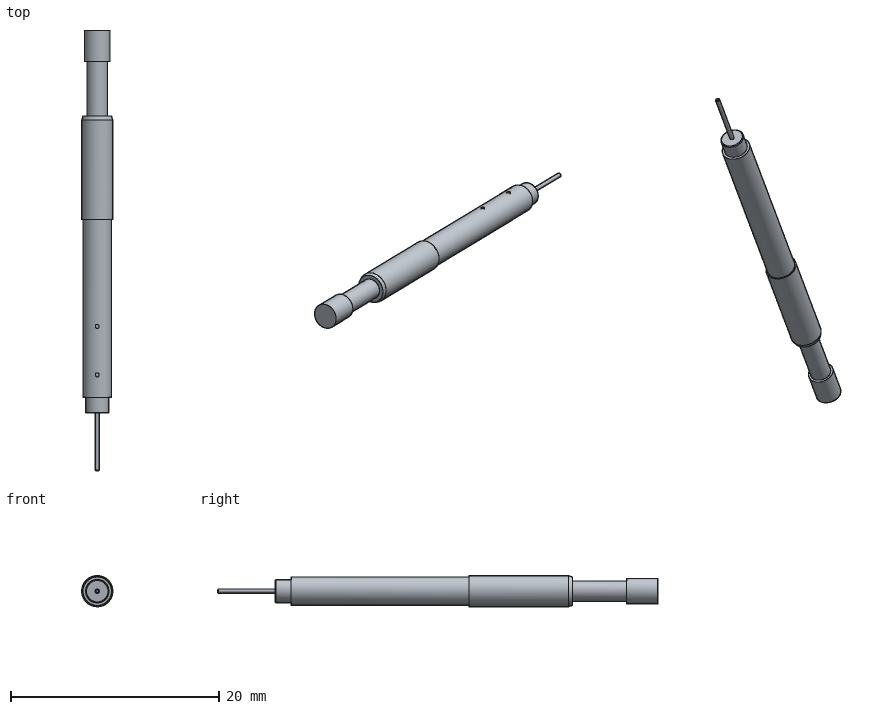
import cadquery as cq

total_length = 42.3
head_face_y = total_length / 2

head_diameter = 2.45
neck_diameter = 2.0
collar_diameter = 3.0
body_diameter = 2.75
plug_diameter = 2.25
pin_diameter = 0.42

head_length = 3.0
neck_length = 5.2
collar_length = 9.95
body_length = 17.1
plug_length = 1.52

collar_chamfer_length = 0.4
collar_chamfer_depth = 0.13
plug_chamfer = 0.1
pin_chamfer = 0.1

dimple_diameter = 0.4
dimple_depth = 0.13
dimple_spacing = 4.65
last_dimple_to_body_end = 2.15

neck_start_y = head_face_y - head_length
collar_start_y = neck_start_y - neck_length
body_start_y = collar_start_y - collar_length
plug_start_y = body_start_y - body_length
pin_start_y = plug_start_y - plug_length
pin_tip_y = head_face_y - total_length


def make_turned_pin():
    """Revolve the stepped half profile about the Y axis."""
    head_radius = head_diameter / 2
    neck_radius = neck_diameter / 2
    collar_radius = collar_diameter / 2
    body_radius = body_diameter / 2
    plug_radius = plug_diameter / 2
    pin_radius = pin_diameter / 2
    profile = [
        (0, head_face_y),
        (head_radius, head_face_y),
        (head_radius, neck_start_y),
        (neck_radius, neck_start_y),
        (neck_radius, collar_start_y),
        (collar_radius - collar_chamfer_depth, collar_start_y),
        (collar_radius, collar_start_y - collar_chamfer_length),
        (collar_radius, body_start_y),
        (body_radius, body_start_y),
        (body_radius, plug_start_y),
        (plug_radius, plug_start_y),
        (plug_radius, pin_start_y + plug_chamfer),
        (plug_radius - plug_chamfer, pin_start_y),
        (pin_radius, pin_start_y),
        (pin_radius, pin_tip_y + pin_chamfer),
        (pin_radius - pin_chamfer, pin_tip_y),
        (0, pin_tip_y),
    ]
    return cq.Workplane("XY").polyline(profile).close().revolve(360, (0, 0, 0), (0, 1, 0))


def make_dimples():
    """Cutters for the two dimples in line along the top of the body."""
    last_dimple_y = plug_start_y + last_dimple_to_body_end
    centres = [(0, last_dimple_y), (0, last_dimple_y + dimple_spacing)]
    floor_z = body_diameter / 2 - dimple_depth
    return (
        cq.Workplane("XY", origin=(0, 0, floor_z))
        .pushPoints(centres)
        .circle(dimple_diameter / 2)
        .extrude(body_diameter)
    )


result = make_turned_pin().cut(make_dimples())